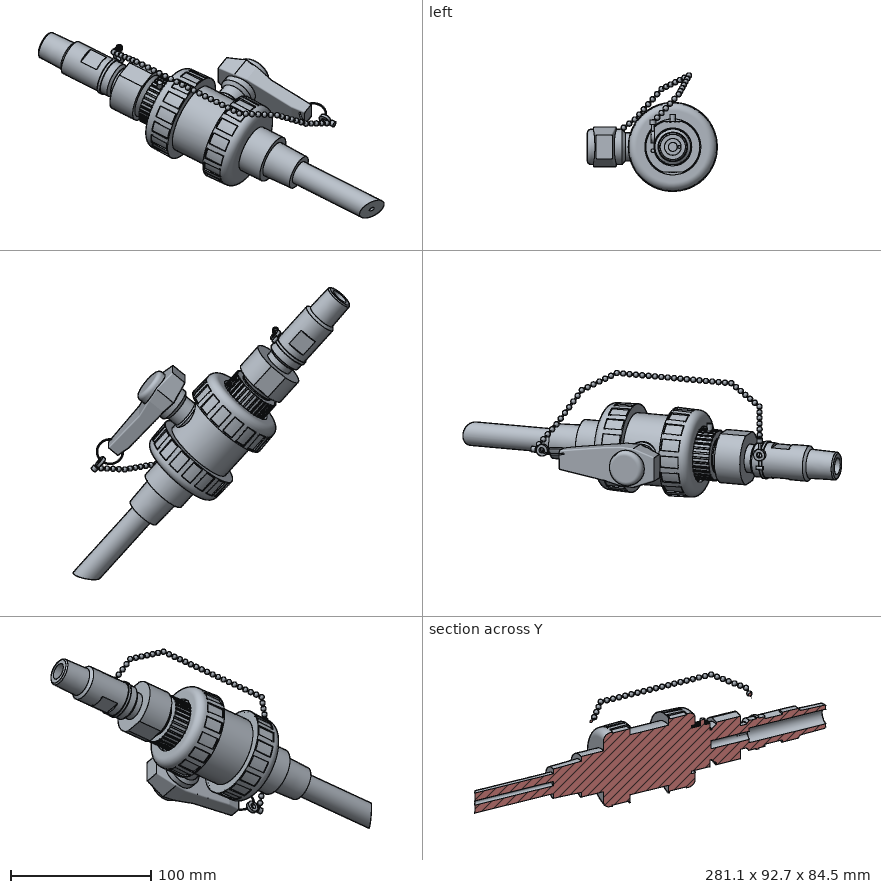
import math
import cadquery as cq


total_length = 281.15
thread_end = 20.0
body_start = 21.9
flat_start, flat_end = 34.4, 47.7
band_start, band_end = 52.6, 54.8
body_end = 60.4
neck_start, nut_start = 62.2, 67.0
nut_end, nut_cone_end = 86.3, 89.8
spline_start = 90.9
union_start, union_end = 102.5, 174.9
union_nut_length = 21.3
sleeve_end, socket_end = 192.5, 214.5
valve_center = (union_start + union_end) / 2

thread_mouth_radius, thread_root_radius = 20.0 / 2, 21.0 / 2
mouth_chamfer = 1.0
body_radius = 25.4 / 2
body_end_radius = 21.4 / 2
neck_radius = 20.32 / 2
band_radius = 27.0 / 2
nut_radius = 38.4 / 2
nut_cone_start_radius, nut_cone_end_radius = 16.3, 13.3
groove_radius = 12.7
spline_radius = 36.5 / 2
union_radius = 63.5 / 2
union_shoulder_radius = 62.4 / 2
union_face_radius = 50.8 / 2
union_round_length = 5.2
valve_body_radius = 50.8 / 2
sleeve_radius = 34.54 / 2
socket_mouth_radius, socket_end_radius = 26.6 / 2, 25.0 / 2
tube_radius = 17.14 / 2

body_flat_height = 10.85
nut_flat_height = 18.0
bevel_angle = 30.0
inlet_bore_diameter, inlet_bore_depth = 11.91, 60.0
passage_diameter, passage_end = 6.35, 90.0
side_port_diameter, side_port_y, side_port_depth = 2.0, -4.55, 8.0
tube_bore_diameter = 3.17
recess_diameter, recess_depth = 39.88, 3.0
spline_count, spline_width, spline_depth = 32, 1.2, 0.8
pin_x, pin_diameter, pin_top = 96.9, 3.81, 23.0
grip_count, grip_rib_angle, grip_depth, grip_rim = 16, 7.5, 0.8, 0.9
grip_shoulder_gap = 1.8
cut_clearance = 1.0

stem_radius, stem_flare_radius = 20.32 / 2, 22.8 / 2
stem_flare_start, stem_flare_end = 24.6, 25.8
hub_radius, hub_top = 25.4 / 2, 60.97
hub_chamfer_start, hub_chamfer_end, hub_round = 33.8, 36.2, 3.0
handle_start, handle_end = 118.9, 191.8
head_wide_start, head_wide_end = 134.2, 144.3
handle_start_half, handle_wide_half, handle_end_half = 8.6, 14.3, 7.0
handle_round = 1.0
head_start_top, head_start_bottom = 54.6, 42.9
head_wide_top, head_wide_bottom = 56.6, 40.2
head_end_top = 55.0
arm_start, arm_top, arm_bottom = 158.0, 52.2, 41.2
tip_bevel_start, tip_bottom = 182.2, 43.1

bead_radius, bead_pitch, link_radius = 3.81 / 2, 4.83, 0.6
total_height = 84.52
chain_top = total_height - union_radius - bead_radius
split_ring_center = (196.3, 46.9, 5.0)
split_ring_radius, split_ring_wire = 9.2, 0.5
eye_radius, eye_hole_radius, eye_thickness = 4.25, 2.0, 2.5
coupling_radius, coupling_length, coupling_neck_radius = 2.1, 3.2, 1.0
band_x = (band_start + band_end) / 2
coupling_y = 14.2
band_eye_center = (band_x, coupling_y, 7.0)
band_neck_length = 4.6
ring_eye_offset = 10.3
ring_eye_center = (split_ring_center[0] + ring_eye_offset, *split_ring_center[1:])
ring_neck_length = 0.5
lug_z, lug_radius, lug_length = -2.7, 1.3, 5.0
chain_points = [
    (band_x, coupling_y, band_eye_center[2] + eye_radius + band_neck_length + coupling_length / 2),
    (60.7, -4.2, 37.5),
    (84.7, -11.5, chain_top),
    (171.6, -11.5, chain_top),
    (191.0, 8.0, 41.2),
    (203.2, 27.0, 19.5),
    (ring_eye_center[0] + eye_radius + coupling_length / 2, *split_ring_center[1:]),
]


def x_cylinder(diameter, start, end, y=0.0):
    """Cylinder parallel to X."""
    return cq.Workplane("YZ", origin=(start, y, 0)).circle(diameter / 2).extrude(end - start)


def axial_body():
    """Everything turned about the X axis, as one solid of revolution."""
    left_nut_end = union_start + union_nut_length
    right_nut_start = union_end - union_nut_length
    half = math.sqrt(0.5)
    nose_mid_x = union_round_length * (1 - half)
    nose_mid_r = union_face_radius + (union_shoulder_radius - union_face_radius) * half
    profile = (
        cq.Workplane("XY")
        .moveTo(0, 0)
        .lineTo(0, thread_mouth_radius - mouth_chamfer)
        .lineTo(mouth_chamfer, thread_mouth_radius)
        .lineTo(thread_end, thread_root_radius)
        .lineTo(body_start, body_radius)
        .lineTo(band_start, body_radius)
        .lineTo(band_start, band_radius)
        .lineTo(band_end, band_radius)
        .lineTo(band_end, body_radius)
        .lineTo(body_end, body_radius)
        .lineTo(neck_start, body_end_radius)
        .lineTo(neck_start, neck_radius)
        .lineTo(nut_start, neck_radius)
        .lineTo(nut_start, nut_radius)
        .lineTo(nut_end, nut_radius)
        .lineTo(nut_end, nut_cone_start_radius)
        .lineTo(nut_cone_end, nut_cone_end_radius)
        .lineTo(nut_cone_end, groove_radius)
        .lineTo(spline_start, groove_radius)
        .lineTo(spline_start, spline_radius)
        .lineTo(union_start + recess_depth, spline_radius)
        .lineTo(union_start + recess_depth, recess_diameter / 2)
        .lineTo(union_start, recess_diameter / 2)
        .lineTo(union_start, union_face_radius)
        .threePointArc(
            (union_start + nose_mid_x, nose_mid_r),
            (union_start + union_round_length, union_shoulder_radius),
        )
        .lineTo(left_nut_end, union_radius)
        .lineTo(left_nut_end, valve_body_radius)
        .lineTo(right_nut_start, valve_body_radius)
        .lineTo(right_nut_start, union_radius)
        .lineTo(union_end - union_round_length, union_shoulder_radius)
        .threePointArc(
            (union_end - nose_mid_x, nose_mid_r),
            (union_end, union_face_radius),
        )
        .lineTo(union_end, sleeve_radius)
        .lineTo(sleeve_end, sleeve_radius)
        .lineTo(sleeve_end, socket_mouth_radius)
        .lineTo(socket_end, socket_end_radius)
        .lineTo(socket_end, tube_radius)
        .lineTo(total_length, tube_radius)
        .lineTo(total_length, 0)
        .close()
    )
    return profile.revolve(360, (0, 0, 0), (1, 0, 0))


def wrench_flats(start, end, height, radius):
    """Cutter for a pair of flats facing +Z and -Z."""
    depth = radius - height + cut_clearance
    center_x = (start + end) / 2
    cutter = cq.Workplane("XY")
    for side in (1, -1):
        flat = cq.Workplane("XY").box(end - start, 2 * radius, depth)
        cutter = cutter.add(flat.translate((center_x, 0, side * (height + depth / 2))))
    return cutter.combine()


def bevel_cutter():
    """Wedge beyond the slanted tube end, whose tip lies on the +Y side."""
    setback = 2 * tube_radius * math.tan(math.radians(bevel_angle))
    return (
        cq.Workplane("XY")
        .moveTo(total_length, tube_radius)
        .lineTo(total_length - setback, -tube_radius)
        .lineTo(total_length - setback, -2 * tube_radius)
        .lineTo(total_length + setback, -2 * tube_radius)
        .lineTo(total_length + setback, tube_radius)
        .close()
        .extrude(2 * tube_radius, both=True)
    )


def spline_grooves():
    """Grooves around the sleeve between the nut and the union."""
    spline_end = union_start + recess_depth
    groove = cq.Workplane("XY").box(spline_end - spline_start, spline_width, 2 * spline_depth)
    groove = groove.translate(((spline_start + spline_end) / 2, 0, spline_radius))
    cutter = cq.Workplane("XY")
    for index in range(spline_count):
        angle = (index + 0.5) * 360 / spline_count
        cutter = cutter.add(groove.rotate((0, 0, 0), (1, 0, 0), angle))
    return cutter.combine()


def grip_pockets(start, end):
    """Shallow pockets between the grip ribs of a union nut."""
    width = 2 * union_radius * math.sin(math.radians(180 / grip_count - grip_rib_angle / 2))
    floor = union_shoulder_radius - grip_depth
    ring = x_cylinder(2 * (union_radius + cut_clearance), start, end)
    ring = ring.cut(x_cylinder(2 * floor, start, end))
    cutter = cq.Workplane("XY")
    for index in range(grip_count):
        sector = cq.Workplane("XY").box(end - start, width, union_radius)
        sector = sector.translate(((start + end) / 2, 0, union_radius))
        sector = sector.rotate((0, 0, 0), (1, 0, 0), index * 360 / grip_count)
        cutter = cutter.add(ring.intersect(sector))
    return cutter.combine()


def stem_and_hub():
    """Valve stem and round handle hub, turned about a Y-parallel axis."""
    profile = (
        cq.Workplane("XY", origin=(valve_center, 0, 0))
        .moveTo(0, 0)
        .lineTo(stem_flare_radius, 0)
        .lineTo(stem_flare_radius, stem_flare_start)
        .lineTo(stem_radius, stem_flare_end)
        .lineTo(stem_radius, hub_chamfer_start)
        .lineTo(hub_radius, hub_chamfer_end)
        .lineTo(hub_radius, hub_top - hub_round)
        .radiusArc((hub_radius - hub_round, hub_top), -hub_round)
        .lineTo(0, hub_top)
        .close()
    )
    return profile.revolve(360, (0, 0, 0), (0, 1, 0))


def handle_lever():
    """Lever: its side outline in XY crossed with its face outline in XZ."""
    side_outline = (
        cq.Workplane("XY")
        .polyline([
            (handle_start, head_start_top),
            (head_wide_start, head_wide_top),
            (head_wide_end, head_end_top),
            (arm_start, arm_top),
            (handle_end, arm_top),
            (handle_end, tip_bottom),
            (tip_bevel_start, arm_bottom),
            (head_wide_end, arm_bottom),
            (head_wide_start, head_wide_bottom),
            (handle_start, head_start_bottom),
        ])
        .close()
        .extrude(2 * handle_wide_half, both=True)
    )
    face_half = [
        (handle_start, handle_start_half),
        (head_wide_start, handle_wide_half),
        (head_wide_end, handle_wide_half),
        (handle_end, handle_end_half),
    ]
    face_outline = (
        cq.Workplane("XZ")
        .polyline(face_half + [(x, -z) for x, z in reversed(face_half)])
        .close()
        .extrude(-hub_top)
    )
    lever = side_outline.intersect(face_outline)
    return lever.edges("not(|Y or |Z) or <X or >X").fillet(handle_round)


def coupling(center, direction, neck_length):
    """Chain coupling: an eye in the XZ plane, a neck and a round end piece along `direction`."""
    eye = cq.Workplane(cq.Plane(center, (1, 0, 0), (0, 1, 0)))
    eye = eye.circle(eye_radius).circle(eye_hole_radius).extrude(eye_thickness / 2, both=True)
    start = cq.Vector(*center)
    axis = cq.Vector(*direction)
    neck_inset = 0.5
    neck_start_point = start + axis * (eye_radius - neck_inset)
    end_start_point = start + axis * (eye_radius + neck_length)
    neck = cq.Solid.makeCylinder(
        coupling_neck_radius, neck_length + 2 * neck_inset, neck_start_point, axis
    )
    end_piece = cq.Solid.makeCylinder(coupling_radius, coupling_length, end_start_point, axis)
    return eye.union(cq.Workplane(neck)).union(cq.Workplane(end_piece))


def chain_run(start, end):
    """Straight run of beads on a thin link, turned about the line from start to end."""
    start_point = cq.Vector(*start)
    span = cq.Vector(*end) - start_point
    bead_count = round(span.Length / bead_pitch)
    pitch = span.Length / bead_count
    half_chord = math.sqrt(bead_radius**2 - link_radius**2)
    across = span.cross(cq.Vector(0, 0, 1))
    profile = cq.Workplane(cq.Plane(start_point, span, across.cross(span)))
    profile = profile.moveTo(-bead_radius, 0)
    profile = profile.threePointArc((0, bead_radius), (half_chord, link_radius))
    for index in range(1, bead_count):
        x = index * pitch
        profile = profile.lineTo(x - half_chord, link_radius)
        profile = profile.threePointArc((x, bead_radius), (x + half_chord, link_radius))
    profile = profile.lineTo(span.Length, link_radius).lineTo(span.Length, 0).close()
    return profile.revolve(360, (0, 0, 0), (1, 0, 0))


def split_ring():
    """Wire ring through the end of the lever."""
    return cq.Workplane(cq.Solid.makeTorus(
        split_ring_radius, split_ring_wire, cq.Vector(*split_ring_center), cq.Vector(0, 0, 1)
    ))


result = axial_body()
result = result.cut(wrench_flats(flat_start, flat_end, body_flat_height, body_radius))
result = result.cut(wrench_flats(nut_start, nut_end, nut_flat_height, nut_radius))
result = result.cut(spline_grooves())
grip_start = union_start + union_round_length + grip_shoulder_gap
grip_end = union_start + union_nut_length - grip_rim
result = result.cut(grip_pockets(grip_start, grip_end))
result = result.cut(grip_pockets(2 * valve_center - grip_end, 2 * valve_center - grip_start))
result = result.cut(bevel_cutter())
result = result.cut(x_cylinder(inlet_bore_diameter, 0, inlet_bore_depth))
result = result.cut(x_cylinder(passage_diameter, inlet_bore_depth, passage_end))
side_port_end = inlet_bore_depth + side_port_depth
result = result.cut(x_cylinder(side_port_diameter, inlet_bore_depth, side_port_end, side_port_y))
result = result.cut(x_cylinder(tube_bore_diameter, socket_end, total_length))
pin = cq.Workplane("XY", origin=(pin_x, 0, groove_radius)).circle(pin_diameter / 2)
result = result.union(pin.extrude(pin_top - groove_radius))

result = result.union(stem_and_hub()).union(handle_lever()).union(split_ring())

result = result.union(coupling(band_eye_center, (0, 0, 1), band_neck_length))
result = result.union(coupling(ring_eye_center, (1, 0, 0), ring_neck_length))
lug_start = band_x - lug_length / 2
lug = x_cylinder(2 * lug_radius, lug_start, lug_start + lug_length, coupling_y)
result = result.union(lug.translate((0, 0, lug_z)))
for run_start, run_end in zip(chain_points, chain_points[1:]):
    result = result.union(chain_run(run_start, run_end))